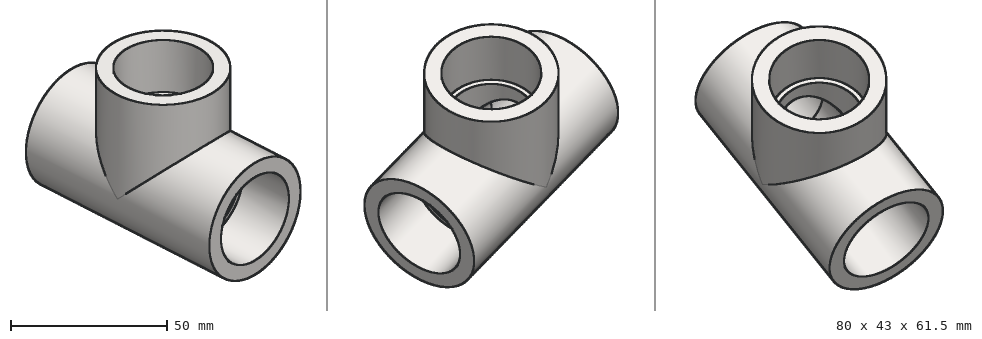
import cadquery as cq

run_length = 80.0
outer_diameter = 43.0
bore_diameter = 28.3
socket_diameter = 32.0
socket_depth = 20.0

arm_length = run_length / 2


def run_cylinder(diameter, length):
    """Cylinder along X, centred on the crossing of the axes."""
    return cq.Workplane("YZ").circle(diameter / 2).extrude(length / 2, both=True)


def branch_cylinder(diameter, bottom, top):
    """Vertical cylinder on the branch axis between two heights."""
    return cq.Workplane("XY").workplane(offset=bottom).circle(diameter / 2).extrude(top - bottom)


body = run_cylinder(outer_diameter, run_length).union(branch_cylinder(outer_diameter, 0, arm_length))

bores = run_cylinder(bore_diameter, run_length).union(branch_cylinder(bore_diameter, 0, arm_length))

branch_socket = branch_cylinder(socket_diameter, arm_length - socket_depth, arm_length)
left_socket = branch_socket.rotate((0, 0, 0), (0, 1, 0), -90)
right_socket = branch_socket.rotate((0, 0, 0), (0, 1, 0), 90)

result = body.cut(bores)
for socket in (branch_socket, left_socket, right_socket):
    result = result.cut(socket)